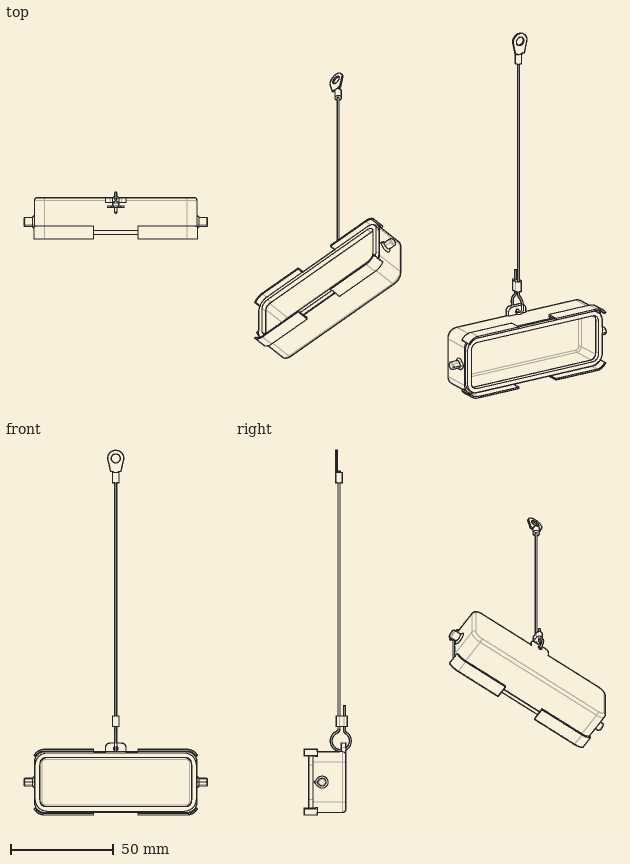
import cadquery as cq
import math

BODY_HALF_X = 39.5
BODY_HALF_Z = 14.75
BODY_DEPTH = 16.0
BODY_CORNER_RADIUS = 5.0
BACK_EDGE_FILLET = 1.5

RIM_INSET_X = 0.4
RIM_INSET_Z = 0.6
RIM_HEIGHT = 2.0
RIM_CORNER_RADIUS = 5.8
RIM_WALL = 2.2
MOUTH_DEPTH = 2.5
CAVITY_STEP_X = 0.2
CAVITY_STEP_Z = 0.05
CAVITY_CORNER_RADIUS = 2.5
FLOOR_THICKNESS = 2.0
FLOOR_FILLET = 0.9

CLIP_HALF_Z = 16.0
CLIP_CORNER_RADIUS = 6.0
CLIP_SHEET = 0.8
CLIP_END_ANGLE = 60.0
CLIP_WEB_REACH = 1.8
CLIP_BACK_Y = -13.8
CLIP_FRONT_Y = -20.2
CLIP_INNER_END_X = 10.75

PIN_SPAN = 89.0
PIN_Y = -11.5
PIN_RADIUS = 1.9
PIN_POINT_REACH = 2.5
PIN_BASE_CHAMFER = 1.0
PIN_TIP_FILLET = 0.5

TAB_WIDTH = 10.0
TAB_TOP_Z = 19.0
TAB_THICKNESS = 2.3
TAB_CORNER_RADIUS = 2.2
TAB_HOLE_DIAMETER = 2.0
TAB_HOLE_Z = 16.3

WIRE_DIAMETER = 1.0
LONG_WIRE_Y = -3.3
SHORT_WIRE_Y = -0.6
SHORT_WIRE_TOP_Z = 37.2
LOOP_Y = -2.45
LOOP_Z = 20.0
LOOP_RADIUS = 4.65
LOOP_NECK_RADIUS = 1.5

SLEEVE_WIDTH = 3.2
SLEEVE_LENGTH = 5.4
SLEEVE_BOTTOM_Z = 27.0
SLEEVE_TOP_Z = 32.2

LUG_TOP_Z = 161.15
LUG_RADIUS = 4.0
LUG_HOLE_DIAMETER = 4.3
LUG_PLATE = 0.8
LUG_FOOT_WIDTH = 5.0
LUG_FOOT_RISE = 0.3
LUG_SHOULDER_WIDTH = 2.6
LUG_SHOULDER_DEPTH = 2.4
LUG_SHOULDER_HEIGHT = 0.6
BARREL_DIAMETER = 3.2
BARREL_BOTTOM_Z = 145.3
BARREL_TOP_Z = 150.4


def rounded_block(half_x, half_z, radius, back_y, front_y):
    """Block with rounded corners in XZ, running from back_y forward to front_y."""
    return (
        cq.Workplane("XZ", origin=(0, back_y, 0))
        .rect(2 * half_x, 2 * half_z)
        .extrude(back_y - front_y)
        .edges("|Y")
        .fillet(radius)
    )


def cover():
    rim_half_x = BODY_HALF_X - RIM_INSET_X
    rim_half_z = BODY_HALF_Z - RIM_INSET_Z
    rim_front_y = -BODY_DEPTH - RIM_HEIGHT
    body = rounded_block(BODY_HALF_X, BODY_HALF_Z, BODY_CORNER_RADIUS, 0, -BODY_DEPTH)
    body = body.faces(">Y").edges().fillet(BACK_EDGE_FILLET)
    rim = rounded_block(rim_half_x, rim_half_z, RIM_CORNER_RADIUS, -BODY_DEPTH, rim_front_y)
    mouth_half_x = rim_half_x - RIM_WALL
    mouth_half_z = rim_half_z - RIM_WALL
    mouth_radius = RIM_CORNER_RADIUS - RIM_WALL
    mouth_back_y = rim_front_y + MOUTH_DEPTH
    mouth = rounded_block(mouth_half_x, mouth_half_z, mouth_radius, mouth_back_y, rim_front_y)
    cavity = rounded_block(
        mouth_half_x - CAVITY_STEP_X,
        mouth_half_z - CAVITY_STEP_Z,
        CAVITY_CORNER_RADIUS,
        -FLOOR_THICKNESS,
        mouth_back_y,
    )
    cavity = cavity.faces(">Y").edges().fillet(FLOOR_FILLET)
    return body.union(rim).cut(mouth).cut(cavity)


def clip(side):
    """Clip in the upper +X (side = 1) or -X (side = -1) corner.

    The sheet curves around the corner and ends on a radial plane; a web along its back edge
    joins it to the body.
    """
    corner_x = BODY_HALF_X - BODY_CORNER_RADIUS
    corner_z = CLIP_HALF_Z - CLIP_CORNER_RADIUS
    end_angle = math.radians(CLIP_END_ANGLE)

    def on_corner(radius, angle):
        return (
            side * (corner_x + radius * math.sin(angle)),
            corner_z + radius * math.cos(angle),
        )

    def strip(thickness, back_y, front_y):
        inner_radius = CLIP_CORNER_RADIUS - thickness
        return (
            cq.Workplane("XZ", origin=(0, back_y, 0))
            .moveTo(side * CLIP_INNER_END_X, CLIP_HALF_Z)
            .lineTo(*on_corner(CLIP_CORNER_RADIUS, 0))
            .threePointArc(
                on_corner(CLIP_CORNER_RADIUS, end_angle / 2),
                on_corner(CLIP_CORNER_RADIUS, end_angle),
            )
            .lineTo(*on_corner(inner_radius, end_angle))
            .threePointArc(on_corner(inner_radius, end_angle / 2), on_corner(inner_radius, 0))
            .lineTo(side * CLIP_INNER_END_X, CLIP_HALF_Z - thickness)
            .close()
            .extrude(back_y - front_y)
        )

    web = strip(CLIP_WEB_REACH, CLIP_BACK_Y, CLIP_BACK_Y - CLIP_SHEET)
    return strip(CLIP_SHEET, CLIP_BACK_Y, CLIP_FRONT_Y).union(web)


def with_clips(part):
    for side in (-1, 1):
        upper = clip(side)
        part = part.union(upper).union(upper.mirror("XY"))
    return part


def pin(side):
    """Teardrop pin on the +X (side = 1) or -X (side = -1) end, its point towards -Y."""
    tangent_y = -(PIN_RADIUS**2) / PIN_POINT_REACH
    tangent_z = math.sqrt(PIN_RADIUS**2 - tangent_y**2)
    start_x = BODY_HALF_X - RIM_WALL / 2
    shank = (
        cq.Workplane("YZ", origin=(start_x, PIN_Y, 0))
        .moveTo(tangent_y, tangent_z)
        .threePointArc((PIN_RADIUS, 0), (tangent_y, -tangent_z))
        .lineTo(-PIN_POINT_REACH, 0)
        .close()
        .extrude(PIN_SPAN / 2 - start_x)
    )
    shank = shank.faces(">X").edges().fillet(PIN_TIP_FILLET)
    return shank if side > 0 else shank.mirror("YZ")


def with_pins(part):
    reach = 2 * PIN_RADIUS
    margin = PIN_TIP_FILLET / 4
    for side in (-1, 1):
        wall_x = side * BODY_HALF_X
        root_box = cq.selectors.BoxSelector(
            (wall_x - margin, PIN_Y - reach, -reach),
            (wall_x + margin, PIN_Y + reach, reach),
        )
        part = part.union(pin(side)).edges(root_box).chamfer(PIN_BASE_CHAMFER)
    return part


def tab():
    root_z = BODY_HALF_Z - RIM_WALL
    plate = (
        cq.Workplane("XZ")
        .center(0, (TAB_TOP_Z + root_z) / 2)
        .rect(TAB_WIDTH, TAB_TOP_Z - root_z)
        .extrude(TAB_THICKNESS)
        .edges("|Y and >Z")
        .fillet(TAB_CORNER_RADIUS)
    )
    hole = (
        cq.Workplane("XZ")
        .center(0, TAB_HOLE_Z)
        .circle(TAB_HOLE_DIAMETER / 2)
        .extrude(TAB_THICKNESS)
    )
    return plate.cut(hole)


def neck(wire_y, side):
    """Points where a wire turns off its straight run and joins the loop.

    The neck arc is tangent to the wire and to the loop circle; side is +1 or -1 along Y.
    """
    centre_y = wire_y + side * LOOP_NECK_RADIUS
    reach = LOOP_RADIUS + LOOP_NECK_RADIUS
    centre_z = LOOP_Z + math.sqrt(reach**2 - (centre_y - LOOP_Y) ** 2)
    share = LOOP_RADIUS / reach
    join = (LOOP_Y + share * (centre_y - LOOP_Y), LOOP_Z + share * (centre_z - LOOP_Z))
    return (wire_y, centre_z), join


def wire():
    long_turn, long_join = neck(LONG_WIRE_Y, -1)
    short_turn, short_join = neck(SHORT_WIRE_Y, 1)
    path = (
        cq.Workplane("YZ")
        .moveTo(LONG_WIRE_Y, BARREL_TOP_Z - WIRE_DIAMETER)
        .lineTo(*long_turn)
        .tangentArcPoint(long_join, relative=False)
        .threePointArc((LOOP_Y, LOOP_Z - LOOP_RADIUS), short_join)
        .tangentArcPoint(short_turn, relative=False)
        .lineTo(SHORT_WIRE_Y, SHORT_WIRE_TOP_Z)
    )
    return (
        cq.Workplane("XY", origin=(0, LONG_WIRE_Y, BARREL_TOP_Z - WIRE_DIAMETER))
        .circle(WIRE_DIAMETER / 2)
        .sweep(path)
    )


def sleeve():
    mid_y = (LONG_WIRE_Y + SHORT_WIRE_Y) / 2
    return (
        cq.Workplane("XY", origin=(0, mid_y, SLEEVE_BOTTOM_Z))
        .slot2D(SLEEVE_LENGTH, SLEEVE_WIDTH, 90)
        .extrude(SLEEVE_TOP_Z - SLEEVE_BOTTOM_Z)
    )


def lug():
    barrel_radius = BARREL_DIAMETER / 2
    barrel = (
        cq.Workplane("XY", origin=(0, LONG_WIRE_Y, BARREL_BOTTOM_Z))
        .circle(barrel_radius)
        .extrude(BARREL_TOP_Z - BARREL_BOTTOM_Z)
    )
    ring_z = LUG_TOP_Z - LUG_RADIUS
    plate_front_y = LONG_WIRE_Y - barrel_radius
    plate = cq.Workplane("XZ", origin=(0, plate_front_y + LUG_PLATE, 0))
    foot = LUG_FOOT_WIDTH / 2
    foot_z = BARREL_TOP_Z + LUG_FOOT_RISE
    outline = (
        plate.moveTo(-foot, foot_z)
        .lineTo(-LUG_RADIUS, ring_z)
        .threePointArc((0, LUG_TOP_Z), (LUG_RADIUS, ring_z))
        .lineTo(foot, foot_z)
        .close()
        .extrude(LUG_PLATE)
    )
    shoulder = (
        cq.Workplane("XZ", origin=(0, plate_front_y + LUG_SHOULDER_DEPTH, 0))
        .center(0, BARREL_TOP_Z + LUG_SHOULDER_HEIGHT / 2)
        .rect(LUG_SHOULDER_WIDTH, LUG_SHOULDER_HEIGHT)
        .extrude(LUG_SHOULDER_DEPTH)
    )
    hole = plate.center(0, ring_z).circle(LUG_HOLE_DIAMETER / 2).extrude(LUG_PLATE)
    return barrel.union(outline).union(shoulder).cut(hole)


result = with_clips(with_pins(cover()))
for piece in (tab(), wire(), sleeve(), lug()):
    result = result.union(piece)